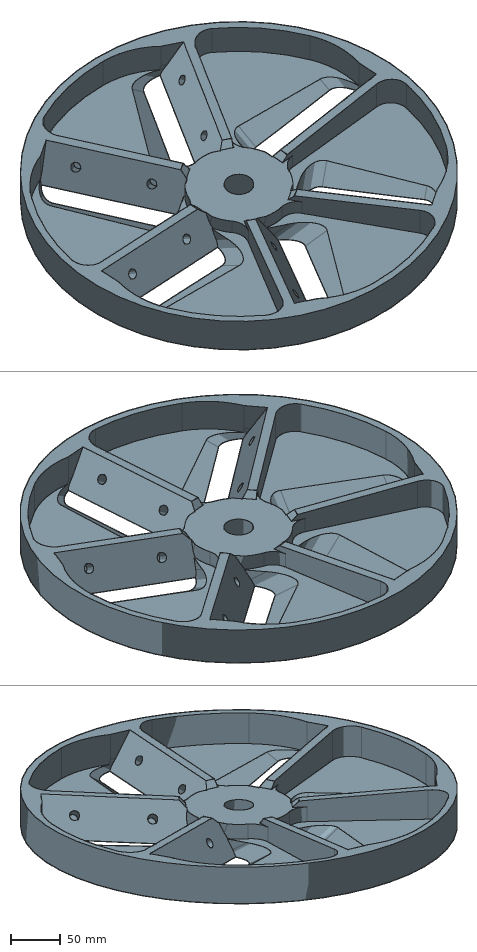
import cadquery as cq
import math

disc_radius = 222.5
rim_height = 40.0
dish_depth = 11.0
base_flat_radius = 60.0
base_rim_radius = 217.5
bore_diameter = 30.0

hub_radius = 55.0
hub_top = 22.0
hub_flat_distance = 54.0
recess_mouth_distance = 61.0

blade_count = 6
pocket_radius = 214.5
pocket_floor = 6.0
rib_thickness = 10.0
rim_fillet = 20.0
hub_fillet = 20.0
relief_radius = 100.0
relief_touch_angle = 24.0

seat_outer = 202.0
seat_lean = 32.5
slot_inner = 53.0
slot_outer = 200.6
slot_span = 58.5
slot_rise = 52.0
slot_corner_radius = 20.0
screw_hole_diameter = 10.11
screw_hole_depth = 20.0
screw_hole_positions = (87.5, 167.5)
screw_hole_drop = 21.0

dish_slope = dish_depth / (base_rim_radius - base_flat_radius)
top_cone_apex = rim_height - disc_radius * dish_slope
blade_pitch = 360.0 / blade_count
clear_height = 2 * rim_height
clear_span = 4 * disc_radius


def make_blank():
    return (
        cq.Workplane("XZ")
        .moveTo(0, -dish_depth)
        .lineTo(base_flat_radius, -dish_depth)
        .lineTo(base_rim_radius, 0)
        .lineTo(disc_radius, 0)
        .lineTo(disc_radius, rim_height)
        .lineTo(0, top_cone_apex)
        .close()
        .revolve(360, (0, 0, 0), (0, 1, 0))
    )


def seat_plane():
    """Plane of the blade seat: local x runs outward, local y runs down the seat."""
    lean = math.radians(seat_lean)
    tilt = math.atan(dish_slope)
    outward = cq.Vector(math.cos(tilt), 0, math.sin(tilt))
    normal = cq.Vector(
        -math.sin(lean) * math.sin(tilt),
        math.cos(lean),
        math.sin(lean) * math.cos(tilt),
    )
    return cq.Plane((0, 0, top_cone_apex), outward, normal)


def on_circle(radius, angle, center=(0, 0)):
    turn = math.radians(angle)
    return (center[0] + radius * math.cos(turn), center[1] + radius * math.sin(turn))


def pocket_outline():
    """Pocket from the top edge of one seat to the back of the next rib.

    Returns the outline with sharp corners, and its two corners on the next rib.
    """
    relief_center = on_circle(pocket_radius - relief_radius, relief_touch_angle)
    relief_touch = on_circle(pocket_radius, relief_touch_angle)
    relief_start_angle = -math.degrees(math.acos((seat_outer - relief_center[0]) / relief_radius))
    relief_start = on_circle(relief_radius, relief_start_angle, relief_center)
    relief_middle_angle = (relief_start_angle + relief_touch_angle) / 2
    relief_middle = on_circle(relief_radius, relief_middle_angle, relief_center)

    rim_angle = blade_pitch - math.degrees(math.asin(rib_thickness / pocket_radius))
    hub_angle = blade_pitch - math.degrees(math.asin(rib_thickness / hub_radius))
    rim_corner = on_circle(pocket_radius, rim_angle)
    hub_corner = on_circle(hub_radius, hub_angle)
    outline = (
        cq.Workplane("XY")
        .workplane(offset=pocket_floor)
        .moveTo(hub_radius, 0)
        .lineTo(seat_outer, 0)
        .lineTo(*relief_start)
        .threePointArc(relief_middle, relief_touch)
        .threePointArc(on_circle(pocket_radius, (relief_touch_angle + rim_angle) / 2), rim_corner)
        .lineTo(*hub_corner)
        .threePointArc(on_circle(hub_radius, hub_angle / 2), (hub_radius, 0))
        .close()
    )
    return outline, rim_corner, hub_corner


def upright_edge_at(point):
    return cq.selectors.NearestToPointSelector((point[0], point[1], (pocket_floor + clear_height) / 2))


def make_pocket():
    outline, rim_corner, hub_corner = pocket_outline()
    pocket = (
        outline.extrude(clear_height - pocket_floor)
        .edges("|Z").edges(upright_edge_at(rim_corner)).fillet(rim_fillet)
    )
    above_hub = pocket.translate((0, 0, hub_top - pocket_floor))
    pocket = pocket.edges("|Z").edges(upright_edge_at(hub_corner)).fillet(hub_fillet).union(above_hub)
    seat_stock = (
        cq.Workplane(seat_plane())
        .rect(clear_span, clear_span)
        .extrude(-clear_span)
    )
    return pocket.cut(seat_stock)


def make_slot():
    """Chip slot square to the seat, rounded at the two corners of its far wall."""
    plane = seat_plane()
    return (
        cq.Workplane(plane)
        .center((slot_inner + slot_outer) / 2, slot_span / 2)
        .rect(slot_outer - slot_inner, slot_span)
        .extrude(slot_rise)
        .edges(cq.selectors.ParallelDirSelector(plane.zDir))
        .edges(cq.selectors.DirectionMinMaxSelector(plane.yDir, True))
        .fillet(slot_corner_radius)
    )


def make_screw_holes():
    return (
        cq.Workplane(seat_plane())
        .pushPoints([(x, screw_hole_drop) for x in screw_hole_positions])
        .circle(screw_hole_diameter / 2)
        .extrude(-screw_hole_depth)
    )


def make_hub_recess():
    """Six-sided recess above the hub with outward sloping sides."""
    recess_height = top_cone_apex + dish_slope * recess_mouth_distance - hub_top
    corner_ratio = 2 / math.cos(math.pi / blade_count)
    return (
        cq.Workplane("XY")
        .workplane(offset=hub_top)
        .polygon(blade_count, hub_flat_distance * corner_ratio)
        .workplane(offset=recess_height)
        .polygon(blade_count, recess_mouth_distance * corner_ratio)
        .loft(ruled=True)
        .rotate((0, 0, 0), (0, 0, 1), blade_pitch / 2)
    )


def make_bore():
    return (
        cq.Workplane("XY")
        .workplane(offset=-dish_depth)
        .circle(bore_diameter / 2)
        .extrude(clear_height)
    )


result = make_blank().cut(make_hub_recess()).cut(make_bore())
station_cutters = (make_pocket(), make_slot(), make_screw_holes())
for station in range(blade_count):
    for cutter in station_cutters:
        result = result.cut(cutter.rotate((0, 0, 0), (0, 0, 1), station * blade_pitch))